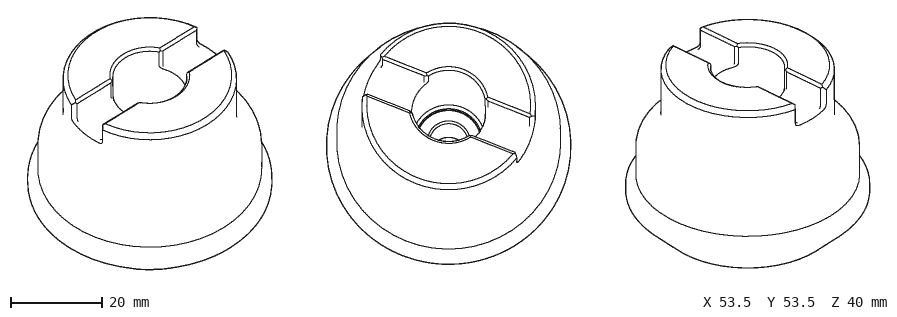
import cadquery as cq
import math

height = 40.0
flange_radius = 26.75
foot_radius = 20.1
flange_low_z = 6.75
flange_high_z = 9.1
flange_edge_round = 1.05
foot_edge_round = 0.15

body_radius = 24.5
neck_radius = 19.0
joint_z = flange_high_z + flange_radius - body_radius
shoulder_start_z = 18.55
neck_start_z = 27.6
rim_chamfer = 1.05

shoulder_radius = 5.0
slope_angle = math.radians(55)

slot_width = 8.55
slot_depth = 5.6
slot_edge_chamfer = 0.65
slot_floor_round = 0.85
slot_outer_flare_start = 17.4
slot_bore_flare_start = 7.55
slot_bore_flare_angle = math.radians(20)
slot_bore_flare_run = 1.4

entry_radius = 8.105
entry_depth = 6.25
entry_chamfer = 0.65
bore_radius = 7.995
step_drop = 1.05
ledge_outer_radius = 7.35
bore_end_radius = 7.05
ledge_height = 0.55
hole_radius = 4.2
hole_chamfer = 0.5


def housing_blank():
    """Revolved body, shoulder and neck, standing on the joint plane."""
    arc_in = shoulder_radius * (1 - math.cos(slope_angle))
    arc_rise = shoulder_radius * math.sin(slope_angle)
    half_in = shoulder_radius * (1 - math.cos(slope_angle / 2))
    half_rise = shoulder_radius * math.sin(slope_angle / 2)
    profile = (
        cq.Workplane("XZ")
        .moveTo(0, joint_z)
        .lineTo(body_radius, joint_z)
        .lineTo(body_radius, shoulder_start_z)
        .threePointArc(
            (body_radius - half_in, shoulder_start_z + half_rise),
            (body_radius - arc_in, shoulder_start_z + arc_rise),
        )
        .lineTo(neck_radius + arc_in, neck_start_z - arc_rise)
        .threePointArc(
            (neck_radius + half_in, neck_start_z - half_rise),
            (neck_radius, neck_start_z),
        )
        .lineTo(neck_radius, height - rim_chamfer)
        .lineTo(neck_radius - rim_chamfer, height)
        .lineTo(0, height)
        .close()
    )
    return profile.revolve(360, (0, 0), (0, 1))


def bore_cutter():
    """Chamfered mouth, straight entry, small step and bore with a bevelled ledge at its end."""
    step_z = height - entry_depth
    ledge_z = joint_z + ledge_height
    profile = (
        cq.Workplane("XZ")
        .moveTo(0, joint_z)
        .lineTo(bore_end_radius, joint_z)
        .lineTo(bore_end_radius, ledge_z)
        .lineTo(ledge_outer_radius, ledge_z)
        .lineTo(bore_radius, ledge_z + bore_radius - ledge_outer_radius)
        .lineTo(bore_radius, step_z - step_drop)
        .lineTo(entry_radius, step_z)
        .lineTo(entry_radius, height - entry_chamfer)
        .lineTo(entry_radius + entry_chamfer, height)
        .lineTo(0, height)
        .close()
    )
    return profile.revolve(360, (0, 0), (0, 1))


def slot_channel():
    """One half of the slot, on the +Y side, flared at both ends, with a rounded floor."""
    half_width = slot_width / 2
    outer_y = neck_radius + 0.55
    outer_x = half_width + outer_y - slot_outer_flare_start
    inner_y = slot_bore_flare_start - slot_bore_flare_run
    inner_x = half_width + slot_bore_flare_run * math.tan(slot_bore_flare_angle)
    right_wall = [
        (inner_x, inner_y),
        (half_width, slot_bore_flare_start),
        (half_width, slot_outer_flare_start),
        (outer_x, outer_y),
    ]
    left_wall = [(-x, y) for x, y in reversed(right_wall)]
    return (
        cq.Workplane("XY")
        .workplane(offset=height - slot_depth)
        .polyline(right_wall + left_wall)
        .close()
        .extrude(slot_depth)
        .faces("<Z")
        .edges("not |X")
        .fillet(slot_floor_round)
    )


def slot_chamfer_cutter():
    """Long prism that bevels both top edges of the slot."""
    bottom_half = slot_width / 2
    top_half = bottom_half + slot_edge_chamfer
    bevel_z = height - slot_edge_chamfer
    return (
        cq.Workplane("XZ")
        .polyline([
            (-bottom_half, bevel_z),
            (bottom_half, bevel_z),
            (top_half, height),
            (-top_half, height),
        ])
        .close()
        .extrude(flange_radius, both=True)
    )


def make_housing():
    """Housing with its stepped bore and the driving slot on both sides of the bore."""
    body = housing_blank().cut(bore_cutter()).cut(slot_chamfer_cutter())
    for turn in (0, 180):
        body = body.cut(slot_channel().rotate((0, 0, 0), (0, 0, 1), turn))
    return body


def make_base():
    """Flanged base with a conical foot and a central hole."""
    profile = (
        cq.Workplane("XZ")
        .moveTo(0, 0)
        .lineTo(foot_radius, 0)
        .lineTo(flange_radius, flange_low_z)
        .lineTo(flange_radius, flange_high_z)
        .lineTo(body_radius, joint_z)
        .lineTo(0, joint_z)
        .close()
    )
    blank = profile.revolve(360, (0, 0), (0, 1))
    flange_edges = cq.selectors.BoxSelector(
        (-flange_radius - 0.55, -flange_radius - 0.55, flange_low_z - 0.55),
        (flange_radius + 0.55, flange_radius + 0.55, flange_high_z + 0.55),
        boundingbox=True,
    )
    rounded = (
        blank.edges(flange_edges).edges("%CIRCLE").fillet(flange_edge_round)
        .faces("<Z").edges().fillet(foot_edge_round)
    )
    hole = cq.Workplane("XY").circle(hole_radius).extrude(joint_z)
    countersink = (
        cq.Workplane("XY")
        .workplane(offset=joint_z)
        .circle(hole_radius + hole_chamfer)
        .extrude(-hole_chamfer, taper=45)
    )
    return rounded.cut(hole).cut(countersink)


housing = make_housing()
base = make_base()
result = cq.Compound.makeCompound([housing.val(), base.val()])